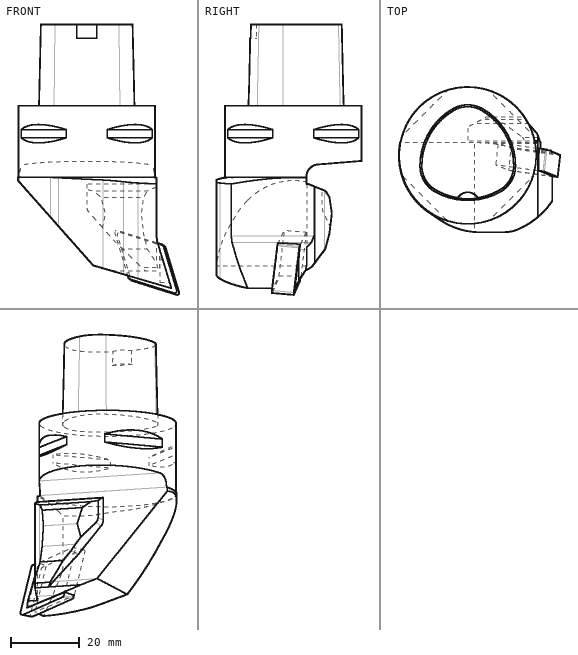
import cadquery as cq
import math


shank_height = 23.7
corner_offset = 6.1
corner_radius = 8.7
flank_radius = corner_radius + corner_offset * math.sqrt(3)
taper_inset = 0.55

notch_radius = 3.4
notch_bottom_y = -10.75
notch_depth = 4.1

flange_diameter = 40.0
flange_radius = flange_diameter / 2
flange_height = 20.9
groove_z = -8.2
groove_floor_distance = 17.7
groove_floor_height = 2.4
groove_mouth_height = 5.4
groove_count = 4

flat_y = 3.9
relief_outer_z = -16.2
relief_inner_y = 7.35
relief_inner_z = -17.2
relief_wall_z = -20.85

head_radius = 20.15
head_front_y = -22.4
back_tangent_x = -10.7
back_line_end = (-8.3, -18.7)
front_flat_start_x = 4.75
front_flat_end_x = 10.7
front_corner = (14.9, -21.5)
side_corner = (20.5, -18.0)
nose_end = (24.7, -13.3)
side_x = 20.4
side_bottom_z = -38.0
flare_start = (20.6, -39.8)
head_nose = (24.7, -53.3)
heel = (1.9, -46.7)
back_slope_top_z = -21.8
rake_ledge_y = 1.6
face_side_x = 21.25
shoulder_angle = 15.0

hump_top = (4.3, -22.8)
hump_profile = [(9.4, -24.9), (10.6, -26.7), (11.3, -31.45), (10.6, -37.4), (9.4, -41.8), (5.4, -47.2)]
hump_left_x = 0.0
hump_left_shoulder_y = 8.4
hump_left_crest_x = 5.5
hump_crest_y = 11.4
hump_right_plan = [(15.8, hump_crest_y), (17.9, 9.0), (20.3, 6.3), (face_side_x, 3.5)]

hump_back_top = (hump_left_x, -30.4)
hump_back_break = (7.75, -39.2)
hump_back_foot = (17.4, -48.6)
hump_back_round = 2.4

insert_tip = cq.Vector(27.3, 0.0, -55.6)
side_edge = cq.Vector(-5.5, 2.2, 18.1)
end_edge = cq.Vector(-19.0, 2.7, 6.0)
insert_edge = 15.25
insert_thickness = 6.5
insert_corner_radius = 0.6
face_runout = [(3.55, -48.2), (2.1, -50.4), (-0.1, -55.1)]

head_bottom_z = -59.25
margin = 31.6


def shank_outline(inset, z):
    """Closed wire of six tangent arcs, offset inwards by inset."""
    corner = corner_radius - inset
    flank = flank_radius - inset

    def centre(angle):
        return cq.Vector(corner_offset * math.cos(angle), corner_offset * math.sin(angle), z)

    def on_arc(middle, radius, angle):
        return middle + cq.Vector(radius * math.cos(angle), radius * math.sin(angle), 0)

    half_arc = math.radians(30)
    arcs = []
    for index in range(3):
        corner_angle = math.radians(90 + 120 * index)
        flank_angle = corner_angle + math.radians(60)
        opposite_angle = flank_angle + math.pi
        for middle, radius, angle in (
            (centre(corner_angle), corner, corner_angle),
            (centre(opposite_angle), flank, flank_angle),
        ):
            points = [on_arc(middle, radius, angle + turn) for turn in (-half_arc, 0, half_arc)]
            arcs.append(cq.Edge.makeThreePointArc(*points))
    return cq.Wire.assembleEdges(arcs)


def make_shank():
    bottom = shank_outline(0, 0)
    top = shank_outline(taper_inset, shank_height)
    shank = cq.Workplane(cq.Solid.makeLoft([bottom, top], True))
    notch = (
        cq.Workplane("XY", origin=(0, notch_bottom_y - notch_radius, shank_height - notch_depth))
        .circle(notch_radius)
        .extrude(notch_depth)
    )
    return shank.cut(notch)


def gripper_groove(index):
    """Trapezoidal groove cut straight across one diagonal side of the flange."""
    floor = groove_floor_height / 2
    mouth = groove_mouth_height / 2
    return (
        cq.Workplane("XZ")
        .moveTo(groove_floor_distance, groove_z - floor)
        .lineTo(flange_radius, groove_z - mouth)
        .lineTo(flange_radius, groove_z + mouth)
        .lineTo(groove_floor_distance, groove_z + floor)
        .close()
        .extrude(flange_radius, both=True)
        .rotate((0, 0, 0), (0, 0, 1), 45 + index * 360 / groove_count)
    )


def flange_relief():
    """Space under the +Y half of the flange, rounded into the head's flat side."""
    arc_y = relief_inner_y - flat_y
    arc_z = relief_inner_z - relief_wall_z
    diagonal = math.sqrt(0.5)
    arc_middle = (flat_y + arc_y * (1 - diagonal), relief_wall_z + arc_z * diagonal)
    return (
        cq.Workplane("YZ")
        .moveTo(flange_radius, relief_outer_z)
        .lineTo(relief_inner_y, relief_inner_z)
        .threePointArc(arc_middle, (flat_y, relief_wall_z))
        .lineTo(flat_y, -flange_height)
        .lineTo(flange_radius, -flange_height)
        .close()
        .extrude(margin, both=True)
    )


def make_flange():
    flange = cq.Workplane("XY").circle(flange_radius).extrude(-flange_height)
    for index in range(groove_count):
        flange = flange.cut(gripper_groove(index))
    return flange.cut(flange_relief())


def head_side_block():
    """Head outline in the XZ plane, extruded through the full depth."""
    return (
        cq.Workplane("XZ")
        .moveTo(-head_radius, -flange_height)
        .lineTo(-head_radius, back_slope_top_z)
        .lineTo(*heel)
        .lineTo(*head_nose)
        .lineTo(*flare_start)
        .lineTo(side_x, side_bottom_z)
        .lineTo(side_x, -flange_height)
        .close()
        .extrude(margin, both=True)
    )


def head_plan_block():
    """Head outline in the XY plane."""
    back_tangent_y = -math.sqrt(head_radius**2 - back_tangent_x**2)
    flat_start_x = -math.sqrt(head_radius**2 - flat_y**2)
    return (
        cq.Workplane("XY", origin=(0, 0, -flange_height))
        .moveTo(flat_start_x, flat_y)
        .threePointArc((-head_radius, 0), (back_tangent_x, back_tangent_y))
        .lineTo(*back_line_end)
        .tangentArcPoint((front_flat_start_x, head_front_y), relative=False)
        .lineTo(front_flat_end_x, head_front_y)
        .tangentArcPoint(front_corner, relative=False)
        .threePointArc(side_corner, nose_end)
        .lineTo(nose_end[0], rake_ledge_y)
        .lineTo(face_side_x, rake_ledge_y)
        .lineTo(face_side_x, flat_y)
        .close()
        .extrude(head_bottom_z + flange_height)
    )


def shoulder_envelope():
    """Solid of revolution whose top slopes down outside the flange."""
    shoulder_drop = (margin - flange_radius) * math.tan(math.radians(shoulder_angle))
    return (
        cq.Workplane("XZ")
        .moveTo(0, -flange_height)
        .lineTo(flange_radius, -flange_height)
        .lineTo(margin, -flange_height - shoulder_drop)
        .lineTo(margin, head_bottom_z)
        .lineTo(0, head_bottom_z)
        .close()
        .revolve(360, (0, 0, 0), (0, 1, 0))
    )


def face_envelope():
    """Everything on the -Y side of the head's flat face and its run-out."""
    return (
        cq.Workplane("YZ")
        .moveTo(-margin, -flange_height)
        .lineTo(flat_y, -flange_height)
        .lineTo(flat_y, heel[1])
        .polyline(face_runout, includeCurrent=True)
        .lineTo(-margin, face_runout[-1][1])
        .close()
        .extrude(margin, both=True)
    )


def make_hump():
    profile = (
        cq.Workplane("YZ")
        .moveTo(0, hump_top[1])
        .lineTo(*hump_top)
        .polyline(hump_profile + face_runout[:2], includeCurrent=True)
        .lineTo(0, face_runout[1][1])
        .close()
        .extrude(margin)
    )
    plan = (
        cq.Workplane("XY")
        .moveTo(hump_left_x, 0)
        .lineTo(hump_left_x, hump_left_shoulder_y)
        .lineTo(hump_left_crest_x, hump_crest_y)
        .polyline(hump_right_plan, includeCurrent=True)
        .lineTo(hump_right_plan[-1][0], 0)
        .close()
        .extrude(head_bottom_z)
    )
    back = (
        cq.Workplane("XZ")
        .moveTo(hump_left_x, hump_top[1])
        .lineTo(*hump_back_top)
        .lineTo(*hump_back_break)
        .lineTo(*hump_back_foot)
        .lineTo(margin, hump_back_foot[1])
        .lineTo(margin, hump_top[1])
        .close()
        .extrude(margin, both=True)
        .edges(cq.selectors.NearestToPointSelector((hump_back_top[0], 0, hump_back_top[1])))
        .fillet(hump_back_round)
    )
    return profile.intersect(plan).intersect(back).intersect(head_side_block())


def make_insert():
    """Rhombic plate with rounded corners, square to the plane of its cutting edges."""
    side = side_edge.normalized()
    end = end_edge.normalized()
    inward = side.cross(end).normalized()
    plane = cq.Plane(origin=insert_tip, xDir=side, normal=inward)
    corners = [
        insert_tip,
        insert_tip + side * insert_edge,
        insert_tip + (side + end) * insert_edge,
        insert_tip + end * insert_edge,
    ]
    return (
        cq.Workplane(plane)
        .polyline([plane.toLocalCoords(corner).toTuple()[:2] for corner in corners])
        .close()
        .extrude(insert_thickness)
        .edges(cq.selectors.ParallelDirSelector(inward))
        .fillet(insert_corner_radius)
    )


def make_holder(insert):
    head = head_side_block().intersect(head_plan_block())
    head = head.intersect(shoulder_envelope()).intersect(face_envelope())
    holder = make_shank().union(make_flange()).union(head).union(make_hump())
    return holder.cut(insert)


insert = make_insert()
holder = make_holder(insert)

result = cq.Compound.makeCompound([holder.solids().val(), insert.solids().val()])